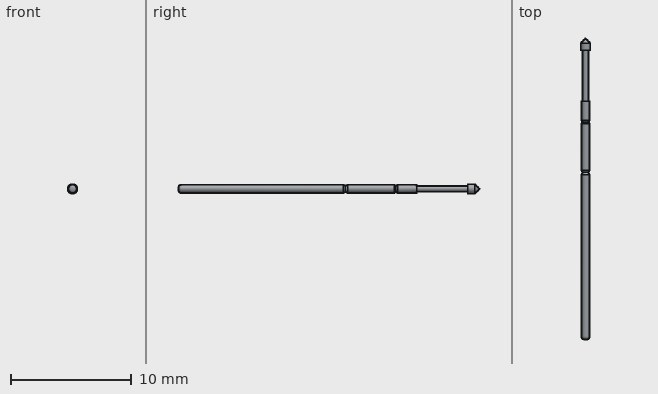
import cadquery as cq

TOTAL_LENGTH = 24.9

HEAD_RADIUS = 0.4
TIP_LENGTH = 0.4
HEAD_LENGTH = 1.0

PLUNGER_RADIUS = 0.25

BARREL_RADIUS = 0.345
BARREL_START = 5.2
TAIL_FLAT_RADIUS = 0.11
TAIL_ROUND_RADIUS = BARREL_RADIUS - TAIL_FLAT_RADIUS

GROOVE_DEPTH = 0.09
FRONT_GROOVE_CENTER = 6.92
FRONT_GROOVE_WIDTH = 0.3
REAR_GROOVE_CENTER = 11.09
REAR_GROOVE_WIDTH = 0.38


def revolve_about_axis(points):
    """Revolve a closed outline of (radius, distance from tip) points about the Y axis."""
    outline = [(radius, -distance) for radius, distance in points]
    return cq.Workplane("XY").polyline(outline).close().revolve(360, (0, 0, 0), (0, 1, 0))


def cylinder(radius, start, end):
    """Cylinder on the Y axis between two distances from the tip."""
    return cq.Workplane("XZ", origin=(0, -start, 0)).circle(radius).extrude(end - start)


def make_head():
    """Cylindrical head with a conical contact point."""
    return revolve_about_axis([
        (0, 0),
        (HEAD_RADIUS, TIP_LENGTH),
        (HEAD_RADIUS, HEAD_LENGTH),
        (0, HEAD_LENGTH),
    ])


def make_plunger():
    """Thin shaft joining the head to the barrel."""
    return cylinder(PLUNGER_RADIUS, HEAD_LENGTH, BARREL_START)


def make_barrel():
    """Barrel whose tail rim is rounded over, leaving a small flat at the end."""
    barrel = cylinder(BARREL_RADIUS, BARREL_START, TOTAL_LENGTH)
    return barrel.faces("<Y").edges().fillet(TAIL_ROUND_RADIUS)


def make_groove_cutter(center, width):
    """Ring of V section that cuts a crimp groove around the barrel."""
    return revolve_about_axis([
        (BARREL_RADIUS, center - width / 2),
        (BARREL_RADIUS - GROOVE_DEPTH, center),
        (BARREL_RADIUS, center + width / 2),
    ])


result = make_head().union(make_plunger()).union(make_barrel())

for groove_center, groove_width in [
    (FRONT_GROOVE_CENTER, FRONT_GROOVE_WIDTH),
    (REAR_GROOVE_CENTER, REAR_GROOVE_WIDTH),
]:
    result = result.cut(make_groove_cutter(groove_center, groove_width))